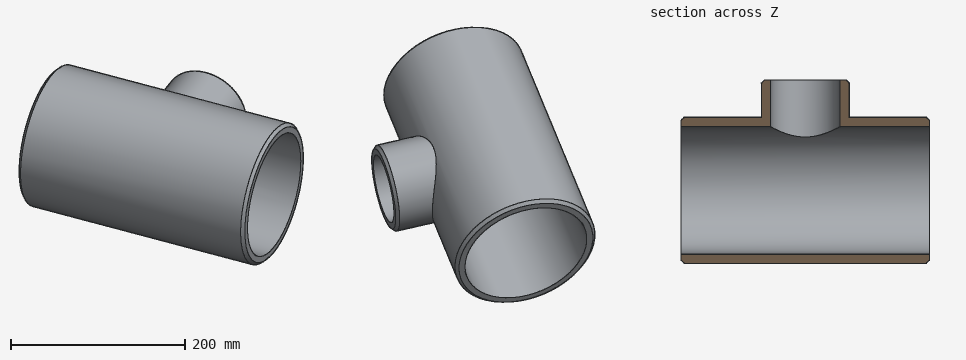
import cadquery as cq

run_length = 285.5
run_outer_diameter = 168.28

branch_reach = 127.0
branch_outer_diameter = 101.6

wall = 10.97
end_chamfer = wall / 3

run_bore_diameter = run_outer_diameter - 2 * wall
branch_bore_diameter = branch_outer_diameter - 2 * wall


def run_cylinder(diameter):
    """Cylinder along X over the whole run, centred on the origin."""
    return cq.Workplane("YZ").circle(diameter / 2).extrude(run_length / 2, both=True)


def branch_cylinder(diameter):
    """Cylinder along +Y from the run axis to the branch end face."""
    return cq.Workplane("XZ").circle(diameter / 2).extrude(-branch_reach)


def make_outer_body():
    """Run and branch as solid bars, with their open ends chamfered."""
    run = run_cylinder(run_outer_diameter).faces("<X or >X").chamfer(end_chamfer)
    branch = branch_cylinder(branch_outer_diameter).faces(">Y").chamfer(end_chamfer)
    return run.union(branch)


def make_bores():
    """Through bore of the run, joined by the branch bore."""
    return run_cylinder(run_bore_diameter).union(branch_cylinder(branch_bore_diameter))


result = make_outer_body().cut(make_bores())